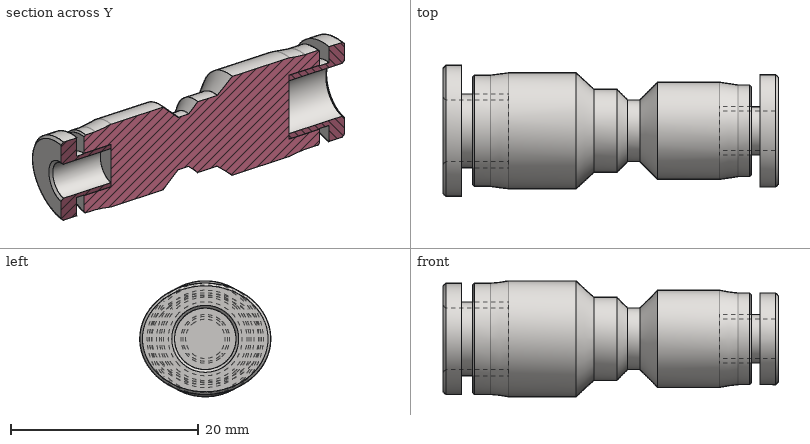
import cadquery as cq


total_length = 35.8

flange_chamfer = 0.3

large_flange_width = 14.0
large_flange_height = 11.9
large_flange_thickness = 2.0
large_stem_diameter = 7.9
large_bore_diameter = 6.55

small_flange_width = 12.0
small_flange_height = 9.8
small_flange_thickness = 2.0
small_stem_diameter = 5.2
small_bore_diameter = 4.2

large_collar_diameter = 11.9
large_barrel_diameter = 12.4
shoulder_diameter = 8.9
neck_diameter = 6.6
small_barrel_diameter = 10.4
small_collar_diameter = 9.8

body_start = 3.15
large_taper_start = 5.05
large_barrel_start = 7.0
large_barrel_end = 14.2
shoulder_start = 16.1
shoulder_end = 18.55
neck_start = shoulder_end + (shoulder_diameter - neck_diameter) / 2
neck_end = 21.0
small_barrel_start = neck_end + (small_barrel_diameter - neck_diameter) / 2
small_barrel_end = 29.5
small_taper_end = 31.5
body_end = 32.9
body_end_chamfer = 0.2

large_socket_depth = large_barrel_start - body_start
small_socket_depth = body_end - small_barrel_end


def release_sleeve(width, height, thickness, stem_diameter, bore_diameter, length):
    """Sleeve with its flange face at X = 0 and its stem pointing along +X."""
    flange = cq.Workplane("YZ").ellipse(width / 2, height / 2).extrude(thickness)
    stem = cq.Workplane("YZ").circle(stem_diameter / 2).extrude(length)
    bore = cq.Workplane("YZ").circle(bore_diameter / 2).extrude(length)
    return flange.union(stem).cut(bore).faces("<X").chamfer(flange_chamfer)


def connector_body():
    """Turned body with a blind socket in each end for the sleeve stems."""
    profile = [
        (body_start, large_collar_diameter / 2),
        (large_taper_start, large_collar_diameter / 2),
        (large_barrel_start, large_barrel_diameter / 2),
        (large_barrel_end, large_barrel_diameter / 2),
        (shoulder_start, shoulder_diameter / 2),
        (shoulder_end, shoulder_diameter / 2),
        (neck_start, neck_diameter / 2),
        (neck_end, neck_diameter / 2),
        (small_barrel_start, small_barrel_diameter / 2),
        (small_barrel_end, small_barrel_diameter / 2),
        (small_taper_end, small_collar_diameter / 2),
        (body_end, small_collar_diameter / 2),
    ]
    turned = (
        cq.Workplane("XY")
        .polyline([(body_start, 0), *profile, (body_end, 0)])
        .close()
        .revolve(360, (0, 0, 0), (1, 0, 0))
        .faces("<X or >X")
        .chamfer(body_end_chamfer)
    )
    large_socket = (
        cq.Workplane("YZ", origin=(body_start, 0, 0))
        .circle(large_stem_diameter / 2)
        .extrude(large_socket_depth)
    )
    small_socket = (
        cq.Workplane("YZ", origin=(body_end, 0, 0))
        .circle(small_stem_diameter / 2)
        .extrude(-small_socket_depth)
    )
    return turned.cut(large_socket).cut(small_socket)


body = connector_body()

large_sleeve = release_sleeve(
    large_flange_width,
    large_flange_height,
    large_flange_thickness,
    large_stem_diameter,
    large_bore_diameter,
    body_start + large_socket_depth,
)

small_sleeve = (
    release_sleeve(
        small_flange_width,
        small_flange_height,
        small_flange_thickness,
        small_stem_diameter,
        small_bore_diameter,
        total_length - body_end + small_socket_depth,
    )
    .rotate((0, 0, 0), (0, 0, 1), 180)
    .translate((total_length, 0, 0))
)

result = cq.Compound.makeCompound([body.val(), large_sleeve.val(), small_sleeve.val()])